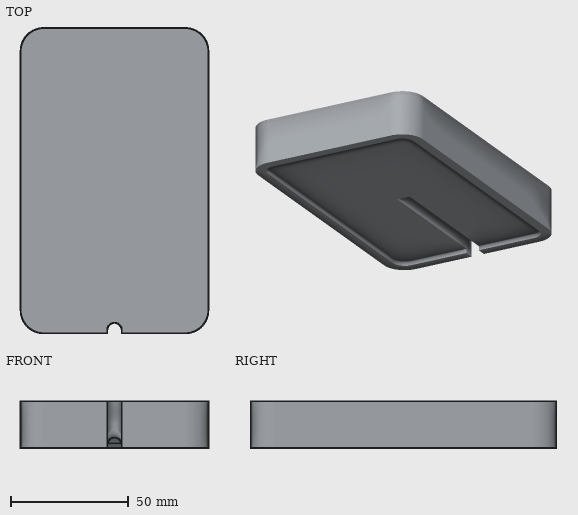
import cadquery as cq

width = 80.0
length = 130.0
height = 20.0
corner_radius = 10.0
front_y = -length / 2

rim = 4.5
recess_depth = 2.0
recess_corner_radius = corner_radius - rim

cable_radius = 3.0
axis_inset = 1.5
notch_axis_y = front_y + axis_inset
groove_axis_z = axis_inset
groove_end_y = 0.0
bend_radius = cable_radius


def rounded_block(size_x, size_y, size_z, radius):
    """Block standing on Z = 0, centred in X and Y, with rounded upright edges."""
    block = cq.Workplane("XY").box(size_x, size_y, size_z, centered=(True, True, False))
    return block.edges("|Z").fillet(radius)


def cable_notch():
    """Full-height U-shaped notch, open towards the front."""
    round_end = cq.Workplane("XY").center(0, notch_axis_y).circle(cable_radius).extrude(height)
    mouth_length = notch_axis_y - front_y
    mouth = (
        cq.Workplane("XY")
        .center(0, front_y + mouth_length / 2)
        .rect(2 * cable_radius, mouth_length)
        .extrude(height)
    )
    return round_end.union(mouth)


def cable_groove():
    """Round-topped groove running back from the front face, open at the bottom."""
    run = groove_end_y - front_y
    round_top = (
        cq.Workplane("XZ", origin=(0, groove_end_y, 0))
        .center(0, groove_axis_z)
        .circle(cable_radius)
        .extrude(run)
    )
    slot = (
        cq.Workplane("XY")
        .center(0, front_y + run / 2)
        .rect(2 * cable_radius, run)
        .extrude(groove_axis_z)
    )
    return round_top.union(slot)


def bend_edges(body):
    """Curved edge where the notch runs into the top of the groove."""
    corner_y = notch_axis_y + cable_radius
    corner_z = groove_axis_z + cable_radius
    return body.edges(cq.NearestToPointSelector((0, corner_y, corner_z)))


body = rounded_block(width, length, height, corner_radius)
body = body.cut(cable_notch()).cut(cable_groove())
body = bend_edges(body).fillet(bend_radius)
recess = rounded_block(width - 2 * rim, length - 2 * rim, recess_depth, recess_corner_radius)
result = body.cut(recess)